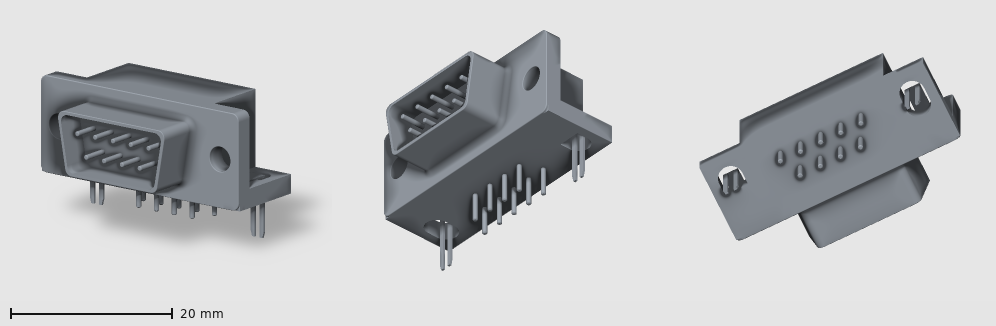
import cadquery as cq
import math


overall_width = 30.8
body_height = 12.5
body_back = 10.75
block_width = 19.77
flange_back = 2.28
ledge_height = 2.5
corner_radius = 1.0

plate_thickness = 0.3
plate_edge_radius = 0.12

shell_length = 5.82
shell_top = 10.4
shell_bottom = 2.15
shell_arc_center_x = 7.3
shell_side_angle = math.radians(10.0)
shell_corner_radius = 1.0
shell_wall = 0.43
shell_root_radius = 0.62
shell_tip_radius = 0.1
insulator_projection = 2.0

pin_diameter = 0.65
pin_radius = pin_diameter / 2
pin_pitch = 2.77
upper_pin_count = 5
lower_pin_count = 4
row_spacing = 2.8
pin_tip = 5.5
pin_tip_rounding = 0.15
tail_length = 3.88
tail_chamfer = 0.12
rear_tail_y = 8.05
front_tail_y = 5.3

mount_x = 12.5
mount_z = 6.28
mount_hole_diameter = 3.2
mount_hole_rounding = 0.1
washer_diameter = 4.0
washer_back = 2.53
slot_width = 3.2
slot_front_center_y = 6.2
slot_back_center_y = 7.75
strap_width = 2.03
strap_thickness = 0.2
strap_rear_y = 7.92
strap_upright_back = 2.62
strap_upright_top = 4.65
strap_bend_radius = 0.15
leg_thickness = 0.3
leg_length = 5.4
leg_gap = 0.8
leg_taper_height = 0.8
leg_taper_width = 0.22


def box(x_range, y_range, z_range):
    """Axis-aligned box between the given limits."""
    size = [high - low for low, high in (x_range, y_range, z_range)]
    corner = (x_range[0], y_range[0], z_range[0])
    return cq.Workplane("XY").box(*size, centered=False).translate(corner)


def cylinder_y(diameter, x, z, y_start, y_end):
    """Cylinder along +Y."""
    plane = cq.Workplane("XZ", origin=(x, y_start, z))
    return plane.circle(diameter / 2).extrude(y_start - y_end)


def make_housing():
    """Central block, flange, two ledges and the face plate."""
    half_width = overall_width / 2
    full = (-half_width, half_width)
    flange = box(full, (plate_thickness, flange_back), (0, body_height))
    flange = flange.edges("|Y and >Z").fillet(corner_radius)
    plate = box(full, (0, plate_thickness), (0, body_height))
    plate = plate.edges("|Y").fillet(corner_radius)
    plate = plate.faces("<Y").edges().fillet(plate_edge_radius)
    block = box((-block_width / 2, block_width / 2), (plate_thickness, body_back), (0, body_height))
    ledges = box(full, (plate_thickness, body_back), (0, ledge_height))
    return block.union(ledges).union(flange).union(plate)


def shell_profile(inset, y):
    """D outline with rounded corners, drawn at depth y and moved inward by inset."""
    top = shell_top - inset
    bottom = shell_bottom + inset
    arc_center_z = shell_top - shell_corner_radius
    side_x = shell_arc_center_x + (shell_corner_radius - inset) / math.cos(shell_side_angle)
    slope = math.tan(shell_side_angle)
    top_x = side_x + (top - arc_center_z) * slope
    bottom_x = side_x - (arc_center_z - bottom) * slope
    points = [(-top_x, top), (top_x, top), (bottom_x, bottom), (-bottom_x, bottom)]
    return cq.Workplane("XZ", origin=(0, y, 0)).polyline(points).close()


def add_shell(body):
    """Hollow shell, flared into the face plate, with a recessed insulator face."""
    shell = shell_profile(0, plate_thickness).extrude(shell_length + plate_thickness)
    shell = shell.edges("|Y").fillet(shell_corner_radius)
    shell = shell.faces("<Y").edges().fillet(shell_tip_radius)
    body = body.union(shell)
    root_box = cq.selectors.BoxSelector(
        (-block_width / 2, -plate_edge_radius / 2, plate_thickness),
        (block_width / 2, plate_edge_radius / 2, body_height - plate_thickness),
    )
    body = body.edges(root_box).fillet(shell_root_radius)
    cavity = shell_profile(shell_wall, -insulator_projection).extrude(shell_length - insulator_projection)
    cavity = cavity.edges("|Y").fillet(shell_corner_radius)
    return body.cut(cavity)


def add_contact_row(body, count, z, tail_y):
    """One row of contact pins with their solder tails."""
    for index in range(count):
        x = (index - (count - 1) / 2) * pin_pitch
        pin = cylinder_y(pin_diameter, x, z, -pin_tip, 0)
        pin = pin.faces("<Y").edges().fillet(pin_tip_rounding)
        tail = cq.Workplane("XY", origin=(x, tail_y, -tail_length))
        tail = tail.circle(pin_radius).extrude(tail_length + ledge_height / 2)
        tail = tail.faces("<Z").edges().chamfer(tail_chamfer)
        body = body.union(pin).union(tail)
    return body


def make_slot(x, rounded_front):
    """Opening through a ledge: round at the back, round or square at the front."""
    radius = slot_width / 2
    outline = (
        cq.Workplane("XY")
        .moveTo(x - radius, slot_front_center_y)
        .lineTo(x - radius, slot_back_center_y)
        .threePointArc((x, slot_back_center_y + radius), (x + radius, slot_back_center_y))
        .lineTo(x + radius, slot_front_center_y)
    )
    if rounded_front:
        outline = outline.threePointArc(
            (x, slot_front_center_y - radius), (x - radius, slot_front_center_y)
        )
    return outline.close().extrude(ledge_height)


def make_bracket(x):
    """Bent strap on a ledge that ends in two tapered legs."""
    half_width = strap_width / 2
    strap_top = ledge_height + strap_thickness
    upright_front = strap_upright_back - strap_thickness
    leg_front = strap_rear_y - leg_thickness
    outline = [
        (upright_front, strap_upright_top),
        (upright_front, ledge_height),
        (leg_front, ledge_height),
        (leg_front, -leg_length),
        (strap_rear_y, -leg_length),
        (strap_rear_y, strap_top),
        (strap_upright_back, strap_top),
        (strap_upright_back, strap_upright_top),
    ]
    strap = cq.Workplane("YZ", origin=(x - half_width, 0, 0))
    strap = strap.polyline(outline).close().extrude(strap_width)
    rear_top_edge = cq.selectors.NearestToPointSelector((x, strap_rear_y, strap_top))
    strap = strap.edges(rear_top_edge).fillet(strap_bend_radius)
    leg_depth = (leg_front, strap_rear_y)
    gap = box((x - leg_gap / 2, x + leg_gap / 2), leg_depth, (-leg_length, ledge_height))
    strap = strap.cut(gap)
    for side in (-1, 1):
        edge_x = x + side * half_width
        taper = [
            (edge_x, -leg_length),
            (edge_x - side * leg_taper_width, -leg_length),
            (edge_x, -leg_length + leg_taper_height),
        ]
        corner = cq.Workplane("XZ", origin=(0, strap_rear_y, 0))
        strap = strap.cut(corner.polyline(taper).close().extrude(leg_thickness))
    return strap


def add_mount(body, x, rounded_slot):
    """Washer, bracket, ledge slot and mounting hole at one end."""
    washer = cylinder_y(washer_diameter, x, mount_z, plate_thickness, washer_back)
    body = body.union(washer)
    body = body.cut(make_slot(x, rounded_slot))
    body = body.union(make_bracket(x))
    body = body.cut(cylinder_y(mount_hole_diameter, x, mount_z, 0, strap_upright_back))
    front_rim = cq.selectors.NearestToPointSelector((x, 0, mount_z))
    return body.edges("%CIRCLE").edges(front_rim).fillet(mount_hole_rounding)


result = add_shell(make_housing())
result = add_contact_row(result, upper_pin_count, mount_z + row_spacing / 2, rear_tail_y)
result = add_contact_row(result, lower_pin_count, mount_z - row_spacing / 2, front_tail_y)
result = add_mount(result, -mount_x, rounded_slot=True)
result = add_mount(result, mount_x, rounded_slot=False)